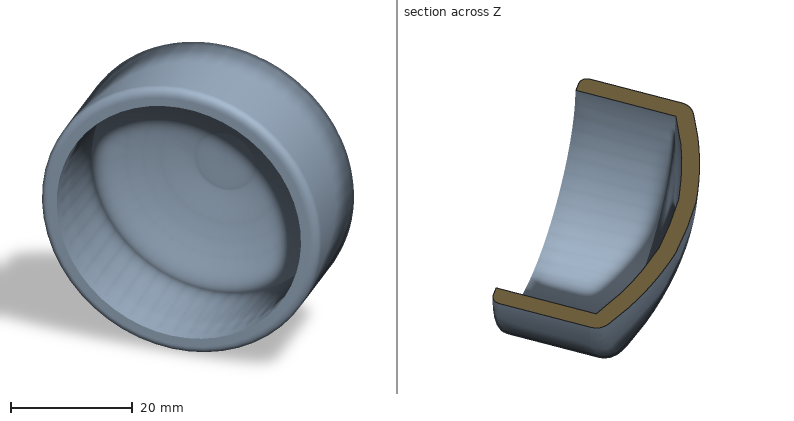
import cadquery as cq
import math

outer_radius = 24.25
overall_depth = 26.12
wall_thickness = 3.0

crown_radius = 5.4
crown_rise = 0.2
dome_corner_depth = 19.0
dome_arc_radius = 53.0

rim_round = 1.5
shoulder_round = 3.0


def crown_arc_middle():
    """Point of the crown arc halfway between its edge and its apex, as (radius, Y)."""
    arc_radius = (crown_radius**2 + crown_rise**2) / (2 * crown_rise)
    middle_radius = crown_radius / 2
    drop = arc_radius - math.sqrt(arc_radius**2 - middle_radius**2)
    return (middle_radius, overall_depth - drop)


def dome_sagitta(start, end):
    """Bulge of the dome arc over the chord between its two ends."""
    half_chord = math.dist(start, end) / 2
    return dome_arc_radius - math.sqrt(dome_arc_radius**2 - half_chord**2)


def solid_cap():
    """Solid of revolution with the outside shape, before rounding and hollowing."""
    apex = (0, overall_depth)
    crown_edge = (crown_radius, overall_depth - crown_rise)
    dome_corner = (outer_radius, dome_corner_depth)
    profile_plane = cq.Plane(origin=(0, 0, 0), xDir=(0, 0, 1), normal=(-1, 0, 0))
    profile = (
        cq.Workplane(profile_plane)
        .lineTo(outer_radius, 0)
        .lineTo(*dome_corner)
        .sagittaArc(crown_edge, -dome_sagitta(dome_corner, crown_edge))
        .threePointArc(crown_arc_middle(), apex)
        .close()
    )
    return profile.revolve(360, (0, 0, 0), (0, 1, 0))


def circles_of_radius(body, radius):
    """Circular edges of the given radius, ordered from the open end to the dome."""
    circles = body.edges("%CIRCLE").filter(lambda edge: math.isclose(edge.radius(), radius))
    return circles.sort(lambda edge: edge.Center().y)


def hollow(body):
    """Uniform wall all round, open at Y = 0."""
    return body.faces("<Y").shell(-wall_thickness)


def round_outside(body):
    body = circles_of_radius(body, outer_radius)[-1].fillet(shoulder_round)
    return circles_of_radius(body, outer_radius)[0].fillet(rim_round)


result = round_outside(hollow(solid_cap()))